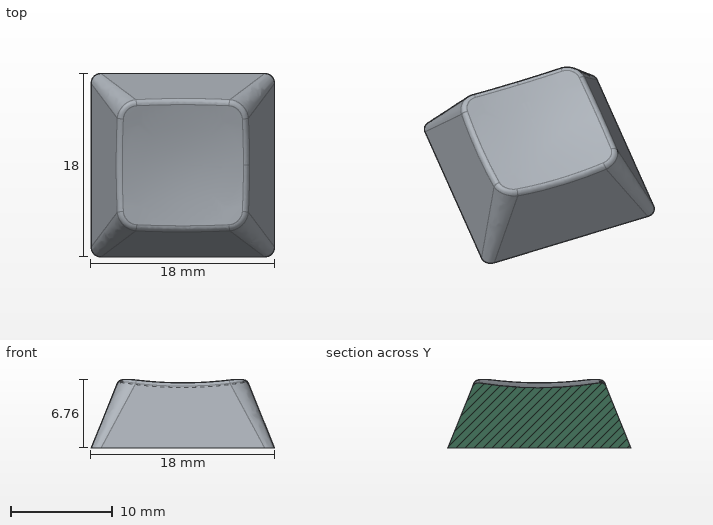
import cadquery as cq
import math

base_side = 18
base_corner_radius = 0.97

blank_height = 7.2
wall_draft = 22
blank_top_side = base_side - 2 * blank_height * math.tan(math.radians(wall_draft))
blank_top_corner_radius = 1.93

dish_radius = 36.9
dish_floor_height = 5.94
rim_fillet_radius = 0.55


def rounded_square(side, corner_radius):
    return cq.Sketch().rect(side, side).vertices().fillet(corner_radius)


def tapered_blank():
    """Solid rounded-square frustum whose corners widen toward the top."""
    base = rounded_square(base_side, base_corner_radius)
    top = rounded_square(blank_top_side, blank_top_corner_radius).moved(
        cq.Location(cq.Vector(0, 0, blank_height))
    )
    return cq.Workplane("XY").placeSketch(base, top).loft(ruled=True)


def dish_cutter():
    """Sphere whose lowest point is the floor of the dish."""
    center_height = dish_floor_height + dish_radius
    return cq.Workplane("XY").sphere(dish_radius).translate((0, 0, center_height))


dished_cap = tapered_blank().cut(dish_cutter())
result = dished_cap.faces("%SPHERE").edges().fillet(rim_fillet_radius)